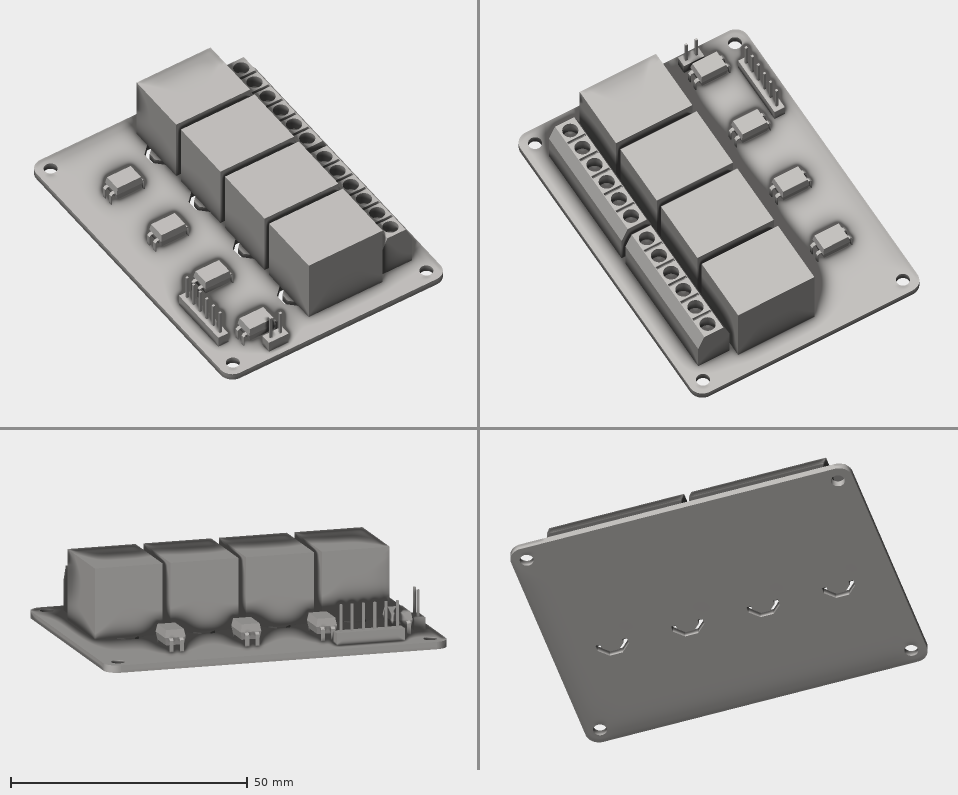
import cadquery as cq
import math

BOARD_LENGTH = 76.15
BOARD_WIDTH = 56.0
BOARD_THICKNESS = 1.6
CORNER_RADIUS = 3.0
MOUNT_HOLE_DIAMETER = 3.0
MOUNT_HOLE_INSET = 3.35
TOTAL_HEIGHT = 17.05

CHANNEL_COUNT = 4
CHANNEL_PITCH = 16.8

RELAY_LENGTH_X = 15.1
RELAY_LENGTH_Y = 18.8
RELAY_ROW_X = -0.4
RELAY_CENTER_Y = 5.6

SLOT_WIDTH = 1.1
SLOT_OUTER_APOTHEM = 3.5
SLOT_CENTER_Y = -2.35

TERMINAL_COUNT = 2
TERMINAL_PITCH = 31.7
TERMINAL_ROW_X = RELAY_ROW_X
TERMINAL_LENGTH = 30.1
TERMINAL_FRONT_Y = 16.0
TERMINAL_BACK_Y = 23.8
TERMINAL_TOP_FRONT_Y = 17.5
TERMINAL_TOP_BACK_Y = 22.25
TERMINAL_TOP_Z = 11.7
TERMINAL_FRONT_SHOULDER_Z = 8.15
TERMINAL_BACK_SHOULDER_Z = 8.3
SCREW_COUNT = 6
SCREW_PITCH = 5.0
SCREW_DIAMETER = 3.4
SCREW_DEPTH = 3.05
SCREW_CENTER_Y = 19.95
GAP_WIDTH = 0.7
GAP_DEPTH = 0.75
GAP_RIM = 0.15

HEADER_WIDTH = 2.5
HEADER_HEIGHT = 2.7
PIN_PITCH = 2.5
PIN_SIZE = 0.5
PIN_TOP_Z = 10.1
INPUT_PIN_COUNT = 6
INPUT_HEADER_X = 21.55
INPUT_HEADER_Y = -23.3
POWER_PIN_COUNT = 2
POWER_HEADER_X = 35.0
POWER_HEADER_Y = -14.0

OPTO_ROW_X = 5.1
OPTO_CENTER_Y = -15.7
OPTO_BODY_X = 4.6
OPTO_BODY_Y = 6.6
OPTO_PARTING_Z = 4.6
OPTO_HALF_HEIGHT = 1.7
OPTO_DRAFT_INSET = 0.3
LEAD_SPAN_Y = 8.6
LEAD_WIDTH = 0.8
LEAD_THICKNESS = 0.2
LEAD_SHOULDER = 0.45
LEADS_PER_SIDE = 2
LEAD_SPACING = 2.3


def row_positions(count, pitch, center=0.0):
    """Evenly spaced coordinates, symmetric about center."""
    return [center + (i - (count - 1) / 2) * pitch for i in range(count)]


def box_on_board(length_x, length_y, top_z, center):
    """A box that stands on the board and ends at top_z."""
    return (
        cq.Workplane("XY", origin=(*center, BOARD_THICKNESS))
        .rect(length_x, length_y)
        .extrude(top_z - BOARD_THICKNESS)
    )


def bare_board():
    hole_centers = cq.Workplane("XY").rect(
        BOARD_LENGTH - 2 * MOUNT_HOLE_INSET,
        BOARD_WIDTH - 2 * MOUNT_HOLE_INSET,
        forConstruction=True,
    )
    holes = hole_centers.vertices().circle(MOUNT_HOLE_DIAMETER / 2).extrude(BOARD_THICKNESS)
    board = (
        cq.Workplane("XY")
        .rect(BOARD_LENGTH, BOARD_WIDTH)
        .extrude(BOARD_THICKNESS)
        .edges("|Z")
        .fillet(CORNER_RADIUS)
    )
    return board.cut(holes)


def octagon_front(apothem):
    """Front four corners of a regular octagon centred on the origin, from -X to +X."""
    half_side = apothem * math.tan(math.pi / 8)
    return [
        (-apothem, -half_side),
        (-half_side, -apothem),
        (half_side, -apothem),
        (apothem, -half_side),
    ]


def isolation_slot(center_x):
    """C-shaped slot through the board, open to the back and ending under the relay."""
    outer = SLOT_OUTER_APOTHEM
    inner = SLOT_OUTER_APOTHEM - SLOT_WIDTH
    outline = [(-outer, 0), *octagon_front(outer), (outer, 0)]
    outline += [(inner, 0), *reversed(octagon_front(inner)), (-inner, 0)]
    return (
        cq.Workplane("XY", origin=(center_x, SLOT_CENTER_Y, 0))
        .polyline(outline)
        .close()
        .extrude(BOARD_THICKNESS)
    )


def terminal_block(center_x):
    """Block with sloped front and back shoulders, screw wells and shallow pockets between them."""
    profile = [
        (TERMINAL_FRONT_Y, BOARD_THICKNESS),
        (TERMINAL_FRONT_Y, TERMINAL_FRONT_SHOULDER_Z),
        (TERMINAL_TOP_FRONT_Y, TERMINAL_TOP_Z),
        (TERMINAL_TOP_BACK_Y, TERMINAL_TOP_Z),
        (TERMINAL_BACK_Y, TERMINAL_BACK_SHOULDER_Z),
        (TERMINAL_BACK_Y, BOARD_THICKNESS),
    ]
    block = (
        cq.Workplane("YZ", origin=(center_x, 0, 0))
        .polyline(profile)
        .close()
        .extrude(TERMINAL_LENGTH / 2, both=True)
    )
    top = cq.Workplane("XY", origin=(center_x, 0, TERMINAL_TOP_Z))
    screw_points = [(x, SCREW_CENTER_Y) for x in row_positions(SCREW_COUNT, SCREW_PITCH)]
    wells = top.pushPoints(screw_points).circle(SCREW_DIAMETER / 2).extrude(-SCREW_DEPTH)
    top_center_y = (TERMINAL_TOP_FRONT_Y + TERMINAL_TOP_BACK_Y) / 2
    gap_length = TERMINAL_TOP_BACK_Y - TERMINAL_TOP_FRONT_Y - 2 * GAP_RIM
    gap_points = [(x, top_center_y) for x in row_positions(SCREW_COUNT - 1, SCREW_PITCH)]
    gap_pockets = (
        top.pushPoints(gap_points)
        .rect(GAP_WIDTH, gap_length)
        .extrude(-GAP_DEPTH)
    )
    return block.cut(wells).cut(gap_pockets)


def pin_header(pin_count, center, along_x):
    """Plastic strip with a single row of square pins along X or Y."""
    center_x, center_y = center
    strip_length = (pin_count - 1) * PIN_PITCH + HEADER_WIDTH
    strip_top_z = BOARD_THICKNESS + HEADER_HEIGHT
    if along_x:
        header = box_on_board(strip_length, HEADER_WIDTH, strip_top_z, center)
        pin_points = [(x, center_y) for x in row_positions(pin_count, PIN_PITCH, center_x)]
    else:
        header = box_on_board(HEADER_WIDTH, strip_length, strip_top_z, center)
        pin_points = [(center_x, y) for y in row_positions(pin_count, PIN_PITCH, center_y)]
    for point in pin_points:
        header = header.union(box_on_board(PIN_SIZE, PIN_SIZE, PIN_TOP_Z, point))
    return header


def relay_board():
    """Board carrying relays, terminal blocks and pin headers as one solid."""
    board = bare_board()
    for x in row_positions(CHANNEL_COUNT, CHANNEL_PITCH, RELAY_ROW_X):
        board = board.cut(isolation_slot(x))
        board = board.union(
            box_on_board(RELAY_LENGTH_X, RELAY_LENGTH_Y, TOTAL_HEIGHT, (x, RELAY_CENTER_Y))
        )
    for x in row_positions(TERMINAL_COUNT, TERMINAL_PITCH, TERMINAL_ROW_X):
        board = board.union(terminal_block(x))
    board = board.union(pin_header(INPUT_PIN_COUNT, (INPUT_HEADER_X, INPUT_HEADER_Y), along_x=True))
    return board.union(pin_header(POWER_PIN_COUNT, (POWER_HEADER_X, POWER_HEADER_Y), along_x=False))


def opto_lead_pair(center_x):
    """One bent strip that crosses the package and stands on the board at both ends."""
    half_span = LEAD_SPAN_Y / 2
    bend_shift = LEAD_THICKNESS * math.tan(math.pi / 8)
    shoulder_y = half_span - LEAD_SHOULDER
    shoulder_z = OPTO_PARTING_Z - LEAD_SHOULDER
    back_half = [
        (shoulder_y, OPTO_PARTING_Z),
        (half_span, shoulder_z),
        (half_span, BOARD_THICKNESS),
        (half_span - LEAD_THICKNESS, BOARD_THICKNESS),
        (half_span - LEAD_THICKNESS, shoulder_z - bend_shift),
        (shoulder_y - bend_shift, OPTO_PARTING_Z - LEAD_THICKNESS),
    ]
    front_half = [(-y, z) for y, z in reversed(back_half)]
    return (
        cq.Workplane("YZ", origin=(center_x, OPTO_CENTER_Y, 0))
        .polyline(back_half + front_half)
        .close()
        .extrude(LEAD_WIDTH / 2, both=True)
    )


def optocoupler(center_x):
    """Package drafted away from its parting plane, raised on four bent leads."""
    draft_angle = math.degrees(math.atan(OPTO_DRAFT_INSET / OPTO_HALF_HEIGHT))
    parting = cq.Workplane("XY", origin=(center_x, OPTO_CENTER_Y, OPTO_PARTING_Z))
    outline = parting.rect(OPTO_BODY_X, OPTO_BODY_Y)
    upper = outline.extrude(OPTO_HALF_HEIGHT, taper=draft_angle)
    lower = upper.mirror("XY", (center_x, OPTO_CENTER_Y, OPTO_PARTING_Z))
    package = upper.union(lower)
    for x in row_positions(LEADS_PER_SIDE, LEAD_SPACING, center_x):
        package = package.union(opto_lead_pair(x))
    return package


board = relay_board()
optocouplers = [optocoupler(x) for x in row_positions(CHANNEL_COUNT, CHANNEL_PITCH, OPTO_ROW_X)]
result = cq.Compound.makeCompound([board.val(), *[opto.val() for opto in optocouplers]])